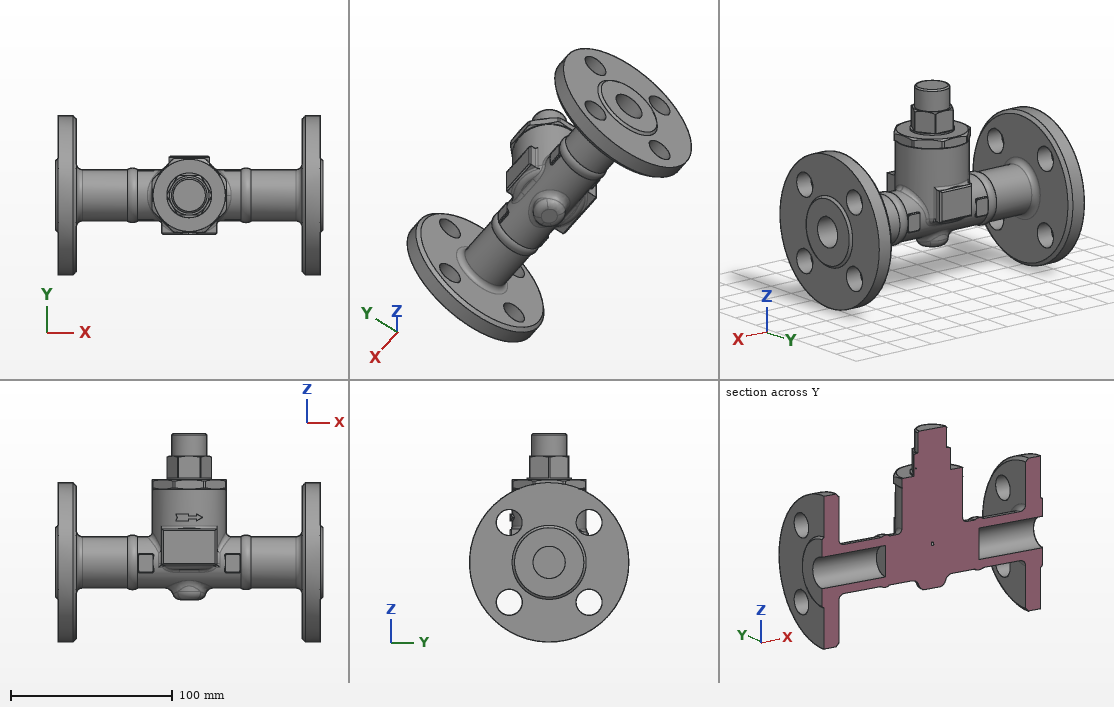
import cadquery as cq
import math


LENGTH = 166.0
FLANGE_DIA = 99.0
FLANGE_THICKNESS = 11.4
FLANGE_CHAMFER = 2.2
FACE_HEIGHT = 1.6
FACE_BASE_DIA = 46.0
FACE_DIA = 43.0
BOLT_CIRCLE_DIA = 70.0
BOLT_HOLE_DIA = 16.0
BOLT_COUNT = 4

PIPE_DIA = 32.0
NECK_FILLET = 3.75
BEAD_START = 32.0
BEAD_WIDTH = 6.4
BEAD_HEIGHT = 1.0
BORE_DIA = 20.0

BODY_DIA = 46.0
BODY_BOTTOM = -4.5
BODY_BOTTOM_ROUND = 4.5
BODY_PIPE_FILLET = 3.0

BOSS_DIA = 20.0
BOSS_BOTTOM = -23.2
BOSS_BOTTOM_ROUND = 5.0
BOSS_PIPE_FILLET = 5.0

CAP_BOTTOM = 45.2
CAP_HEIGHT = 6.3
CAP_SIDES = 8
CAP_ACROSS_FLATS = 46.0
CAP_CORNER_DIA = 49.2
CAP_TOP_DIA = 44.8
CAP_CHAMFER_ANGLE = 25.0
WASHER_HEIGHT = 1.0
WASHER_DIA = 27.8
HEX_HEIGHT = 13.5
HEX_SIDES = 6
HEX_ACROSS_FLATS = 24.5
HEX_TOP_DIA = 24.5
HEX_CHAMFER_ANGLE = 25.0
PLUG_TOP = 80.0
PLUG_DIA = 22.0
PLUG_CHAMFER = 1.0

PAD_REACH = 24.4
PAD_BOTTOM = -1.6
PAD_OVERREACH = 28.0
PAD_CHAMFER = 1.0
PAD_FILLET = 1.8
PAD_PIPE_FILLET = 2.0
FRONT_PAD_WIDTH = 34.2
FRONT_PAD_TOP = 20.8
REAR_PAD_WIDTH = 25.4
REAR_PAD_TOP = 19.0

FLAT_WIDTH = 10.1
FLAT_HEIGHT = 12.2
FLAT_CENTER_Z = -0.5
FLAT_CORNER = 1.6
FLAT_CHAMFER = 0.6

ARROW_Z = 27.9
ARROW_HALF_LENGTH = 8.3
ARROW_HALF_HEIGHT = 2.1
ARROW_SHAFT_HALF_HEIGHT = 0.9
ARROW_SHAFT_START = -0.5
ARROW_HEAD_START = 4.6
ARROW_NOTCH = 0.9
ARROW_RISE = 1.2

JOINT_TOLERANCE = 0.01
JOINT_SAMPLES = (0.2, 0.5, 0.8)
FUSE_TOLERANCE = 1e-4

PIPE_RADIUS = PIPE_DIA / 2
BODY_RADIUS = BODY_DIA / 2
FLANGE_FRONT = LENGTH / 2 - FACE_HEIGHT
FLANGE_BACK = FLANGE_FRONT - FLANGE_THICKNESS
BEAD_END = BEAD_START + BEAD_WIDTH
BEAD_CENTER = (BEAD_START + BEAD_END) / 2
CAP_TOP = CAP_BOTTOM + CAP_HEIGHT
HEX_BOTTOM = CAP_TOP + WASHER_HEIGHT
HEX_TOP = HEX_BOTTOM + HEX_HEIGHT


def upright_cylinder(diameter, bottom, top):
    return cq.Workplane("XY", origin=(0, 0, bottom)).circle(diameter / 2).extrude(top - bottom)


def is_pad_root(edge):
    """True where a nameplate pad meets the round wall of the body."""
    middle = edge.positionAt(0.5)
    within_pads = abs(middle.x) < FRONT_PAD_WIDTH / 2 + JOINT_TOLERANCE
    return within_pads and math.hypot(middle.x, middle.y) < BODY_RADIUS + JOINT_TOLERANCE


def is_on_pipe_wall(edge):
    """True where another shape enters the round wall of the pipe."""
    points = [edge.positionAt(place) for place in JOINT_SAMPLES]
    on_wall = all(abs(math.hypot(p.y, p.z) - PIPE_RADIUS) < JOINT_TOLERANCE for p in points)
    at_pipe_end = all(abs(p.x) > BEAD_START for p in points)
    is_seam = all(abs(p.z) < JOINT_TOLERANCE for p in points)
    return on_wall and not at_pipe_end and not is_seam


def make_pad(width, top, side):
    """Flat-faced pad reaching from the Z axis; side is -1 for -Y and +1 for +Y."""
    return cq.Workplane("XY", origin=(0, side * PAD_OVERREACH / 2, PAD_BOTTOM)).box(
        width, PAD_OVERREACH, top - PAD_BOTTOM, centered=(True, True, False)
    )


def make_pad_limit(width, top, side):
    """Space that one finished pad may fill: its own box, trimmed and chamfered at the face."""
    trimmed = make_pad(width, top, side).intersect(
        cq.Workplane("XY").box(BODY_DIA, 2 * PAD_REACH, 2 * CAP_BOTTOM)
    )
    return trimmed.faces("<Y" if side < 0 else ">Y").chamfer(PAD_CHAMFER)


def make_body():
    """Upright round body with a rounded bottom edge."""
    body = upright_cylinder(BODY_DIA, BODY_BOTTOM, CAP_BOTTOM)
    return body.faces("<Z").edges().fillet(BODY_BOTTOM_ROUND)


def make_padded_body():
    """Upright body with its two nameplate pads, blended at their roots."""
    pads = ((FRONT_PAD_WIDTH, FRONT_PAD_TOP, -1), (REAR_PAD_WIDTH, REAR_PAD_TOP, 1))
    body = make_body()
    limit = cq.Workplane("XY").box(2 * BODY_DIA, 2 * (PAD_REACH - PAD_CHAMFER), 2 * CAP_BOTTOM)
    for pad in pads:
        body = body.union(make_pad(*pad))
        limit = limit.union(make_pad_limit(*pad))
    return body.edges().filter(is_pad_root).fillet(PAD_FILLET).intersect(limit)


def make_center():
    """Pipe with the body and the drain boss blended into it."""
    pipe = cq.Workplane("YZ").circle(PIPE_RADIUS).extrude(BEAD_CENTER, both=True)
    boss = upright_cylinder(BOSS_DIA, BOSS_BOTTOM, 0)
    with_boss = pipe.union(boss)
    with_boss = with_boss.edges().filter(is_on_pipe_wall).fillet(BOSS_PIPE_FILLET)
    with_boss = with_boss.faces("<Z").edges().fillet(BOSS_BOTTOM_ROUND)
    with_body = pipe.union(make_body())
    with_body = with_body.edges().filter(is_on_pipe_wall).fillet(BODY_PIPE_FILLET)
    with_pads = pipe.union(make_padded_body())
    with_pads = with_pads.edges().filter(is_on_pipe_wall).fillet(PAD_PIPE_FILLET)
    return with_pads.union(with_body, tol=FUSE_TOLERANCE).union(with_boss)


def make_run_end():
    """Right-hand bead, outer pipe, neck and flange, turned about X."""
    profile = (
        cq.Workplane("XY")
        .moveTo(BEAD_START, 0)
        .lineTo(BEAD_START, PIPE_RADIUS)
        .threePointArc((BEAD_CENTER, PIPE_RADIUS + BEAD_HEIGHT), (BEAD_END, PIPE_RADIUS))
        .lineTo(FLANGE_BACK - NECK_FILLET, PIPE_RADIUS)
        .radiusArc((FLANGE_BACK, PIPE_RADIUS + NECK_FILLET), -NECK_FILLET)
        .lineTo(FLANGE_BACK, FLANGE_DIA / 2 - FLANGE_CHAMFER)
        .lineTo(FLANGE_BACK + FLANGE_CHAMFER, FLANGE_DIA / 2)
        .lineTo(FLANGE_FRONT, FLANGE_DIA / 2)
        .lineTo(FLANGE_FRONT, FACE_BASE_DIA / 2)
        .lineTo(LENGTH / 2, FACE_DIA / 2)
        .lineTo(LENGTH / 2, 0)
        .close()
    )
    end = profile.revolve(360, (0, 0, 0), (1, 0, 0))
    holes = (
        cq.Workplane("YZ", origin=(FLANGE_BACK, 0, 0))
        .polarArray(BOLT_CIRCLE_DIA / 2, 180 / BOLT_COUNT, 360, BOLT_COUNT)
        .circle(BOLT_HOLE_DIA / 2)
        .extrude(FLANGE_THICKNESS)
    )
    bore = (
        cq.Workplane("YZ", origin=(BEAD_CENTER, 0, 0))
        .circle(BORE_DIA / 2)
        .extrude(LENGTH / 2 - BEAD_CENTER)
    )
    return end.cut(holes).cut(bore)


def turned_blank(bottom, top, diameter, end_diameter, angle, both_ends):
    """Upright cylinder coned at its top, and optionally its bottom, as on a nut."""
    drop = (diameter - end_diameter) / 2 * math.tan(math.radians(angle))
    points = [(0, top), (end_diameter / 2, top), (diameter / 2, top - drop)]
    if both_ends:
        points += [(diameter / 2, bottom + drop), (end_diameter / 2, bottom)]
    else:
        points += [(diameter / 2, bottom)]
    points += [(0, bottom)]
    return cq.Workplane("XZ").polyline(points).close().revolve(360, (0, 0, 0), (0, 1, 0))


def make_prism(sides, across_flats, bottom, top):
    """Regular prism with one flat facing -Y."""
    corner_dia = across_flats / math.cos(math.pi / sides)
    return (
        cq.Workplane("XY", origin=(0, 0, bottom))
        .transformed(rotate=(0, 0, 90 + 180 / sides))
        .polygon(sides, corner_dia)
        .extrude(top - bottom)
    )


def make_plug_stack():
    """Cap, washer, hexagon and plug above the body."""
    cap = make_prism(CAP_SIDES, CAP_ACROSS_FLATS, CAP_BOTTOM, CAP_TOP).intersect(
        turned_blank(CAP_BOTTOM, CAP_TOP, CAP_CORNER_DIA, CAP_TOP_DIA, CAP_CHAMFER_ANGLE, True)
    )
    washer = upright_cylinder(WASHER_DIA, CAP_TOP, HEX_BOTTOM)
    hexagon = make_prism(HEX_SIDES, HEX_ACROSS_FLATS, HEX_BOTTOM, HEX_TOP).intersect(
        turned_blank(HEX_BOTTOM, HEX_TOP, WASHER_DIA, HEX_TOP_DIA, HEX_CHAMFER_ANGLE, False)
    )
    plug = upright_cylinder(PLUG_DIA, HEX_TOP, PLUG_TOP).faces(">Z").chamfer(PLUG_CHAMFER)
    return cap.union(washer).union(hexagon).union(plug)


def make_flats():
    """Rounded blocks through the pipe, showing a flat on both its sides near each bead."""
    flats = cq.Workplane("XY")
    center_x = BEAD_START - FLAT_WIDTH / 2
    for x in (-center_x, center_x):
        block = (
            cq.Workplane("XZ", origin=(x, 0, FLAT_CENTER_Z))
            .rect(FLAT_WIDTH, FLAT_HEIGHT)
            .extrude(PIPE_RADIUS, both=True)
            .edges("|Y")
            .fillet(FLAT_CORNER)
            .faces("<Y or >Y")
            .chamfer(FLAT_CHAMFER)
        )
        flats = flats.add(block)
    return flats.combine()


def make_arrow():
    """Feathered arrow pointing to +X, raised evenly above the body."""
    upper = [
        (-ARROW_HALF_LENGTH, ARROW_HALF_HEIGHT),
        (ARROW_SHAFT_START, ARROW_HALF_HEIGHT),
        (ARROW_SHAFT_START, ARROW_SHAFT_HALF_HEIGHT),
        (ARROW_HEAD_START, ARROW_SHAFT_HALF_HEIGHT),
        (ARROW_HEAD_START, ARROW_HALF_HEIGHT),
    ]
    lower = [(x, -z) for x, z in reversed(upper)]
    outline = upper + [(ARROW_HALF_LENGTH, 0)] + lower + [(ARROW_NOTCH - ARROW_HALF_LENGTH, 0)]
    arrow = (
        cq.Workplane("XZ", origin=(0, 0, ARROW_Z))
        .polyline(outline)
        .close()
        .extrude(BODY_DIA)
    )
    shell = upright_cylinder(BODY_DIA + 2 * ARROW_RISE, 0, CAP_BOTTOM)
    return arrow.intersect(shell)


run_end = make_run_end()
result = (
    make_center()
    .union(make_arrow())
    .union(make_flats())
    .union(run_end)
    .union(run_end.mirror("YZ"))
    .union(make_plug_stack())
)